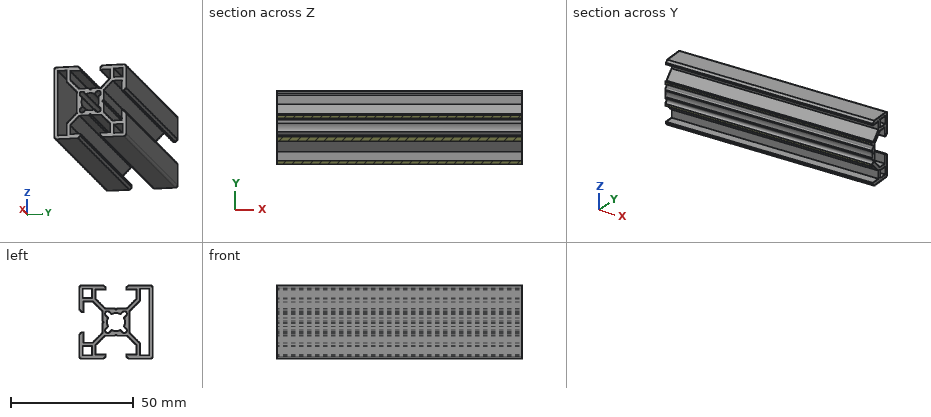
import cadquery as cq
import math

LENGTH = 100.0
SIDE = 30.0
CORNER_RADIUS = 1.0

WALL = 1.5
SLOT_OPENING = 8.2
SLOT_INNER_WIDTH = 16.7
LIP_THICKNESS = 1.8
LIP_CHAMFER = 1.0

CORE_SIDE = 11.2
RIB_THICKNESS = 1.6
RIB_ROUND_RADIUS = 1.0
MARK_HALF_WIDTH = 0.5
MARK_DEPTH = 0.5

BORE_DIAMETER = 7.3
RELIEF_WIDTH = 2.0
RELIEF_REACH = 4.4

half_side = SIDE / 2
half_core = CORE_SIDE / 2
half_opening = SLOT_OPENING / 2
half_slot = SLOT_INNER_WIDTH / 2
lip_inner = half_side - LIP_THICKNESS
cavity_outer = half_side - WALL
cavity_inner = half_slot + WALL
rib_offset = RIB_THICKNESS / math.sqrt(2)


def section():
    return cq.Workplane("YZ")


def outer_bar():
    return section().rect(SIDE, SIDE).extrude(LENGTH).edges("|X").fillet(CORNER_RADIUS)


def slot_cutter():
    """T-slot opening on +Z, with chamfered lips, sloping flanks and a V groove in the floor."""
    right_side = [
        (MARK_HALF_WIDTH, half_core),
        (half_core - rib_offset, half_core),
        (half_slot, half_slot + rib_offset),
        (half_slot, lip_inner),
        (half_opening, lip_inner),
        (half_opening, half_side - LIP_CHAMFER),
        (half_opening + LIP_CHAMFER, half_side),
    ]
    left_side = [(-y, z) for y, z in reversed(right_side)]
    groove_bottom = (0, half_core - MARK_DEPTH)
    return section().polyline([groove_bottom] + right_side + left_side).close().extrude(LENGTH)


def corner_cavity(z_sign):
    """Square cavity in one of the two +Y corners."""
    centre = (cavity_outer + cavity_inner) / 2
    size = cavity_outer - cavity_inner
    return section().center(centre, z_sign * centre).rect(size, size).extrude(LENGTH)


def closed_side_cavity():
    """Single cavity behind the closed -Y wall, reaching in to the hub between the two ribs."""
    upper_half = [
        (-cavity_outer, cavity_outer),
        (-cavity_inner, cavity_outer),
        (-cavity_inner, cavity_inner - rib_offset),
        (-half_core, half_core - rib_offset),
    ]
    lower_half = [(y, -z) for y, z in reversed(upper_half)]
    cavity = section().polyline(upper_half + lower_half).close().extrude(LENGTH)
    for y, z in (upper_half[2], lower_half[1]):
        rib_corner = cq.selectors.NearestToPointSelector((LENGTH / 2, y, z))
        cavity = cavity.edges("|X").edges(rib_corner).fillet(RIB_ROUND_RADIUS)
    return cavity


def core_bore():
    """Round bore crossed by two diagonal round-ended relief slots."""
    end_centre = RELIEF_REACH - RELIEF_WIDTH / 2
    relief_length = 2 * math.sqrt(2) * end_centre + RELIEF_WIDTH
    bore = section().circle(BORE_DIAMETER / 2).extrude(LENGTH)
    for angle in (45, -45):
        bore = bore.union(section().slot2D(relief_length, RELIEF_WIDTH, angle).extrude(LENGTH))
    return bore


result = outer_bar()
for slot_angle in (0, -90, 180):
    result = result.cut(slot_cutter().rotate((0, 0, 0), (LENGTH, 0, 0), slot_angle))
for cavity_side in (1, -1):
    result = result.cut(corner_cavity(cavity_side))
result = result.cut(closed_side_cavity())
result = result.cut(core_bore())

result = result.translate((-LENGTH / 2, 0, 0))